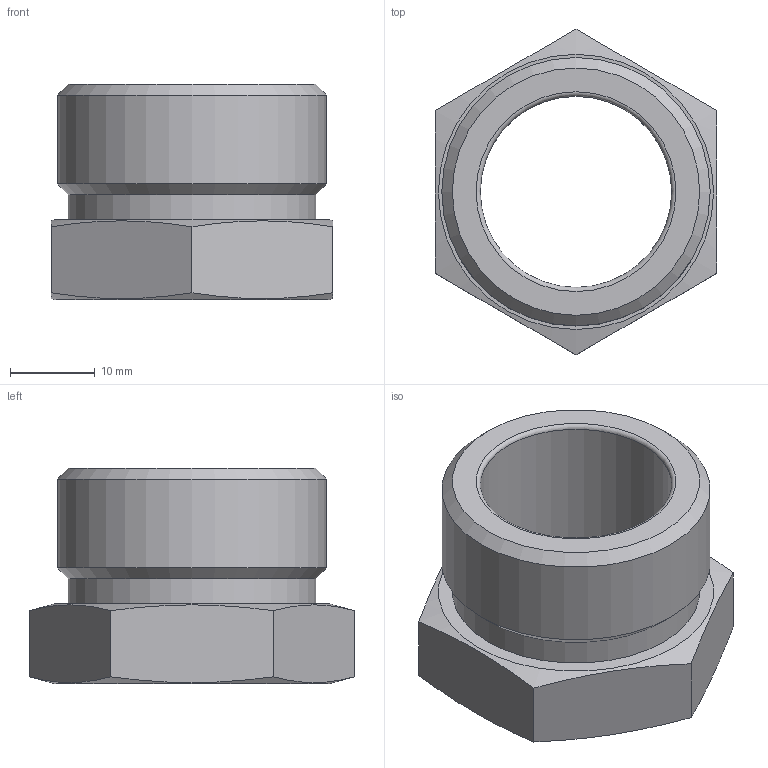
import cadquery as cq
import math

across_flats = 33.3
across_corners = across_flats / math.cos(math.radians(30))
head_height = 9.4
head_face_diameter = 32.5
head_chamfer_angle = 15.0

total_height = 25.4
shank_diameter = 31.7
neck_diameter = 29.2
neck_height = 3.0
shank_chamfer = (shank_diameter - neck_diameter) / 2

bore_diameter = 22.6
bore_mouth_fillet = 0.5


def make_head():
    """Hexagonal prism, corners along Y, bevelled conically at both ends."""
    prism = (
        cq.Workplane("XY")
        .polygon(6, across_corners)
        .extrude(head_height)
        .rotate((0, 0, 0), (0, 0, 1), 30)
    )
    face_radius = head_face_diameter / 2
    corner_radius = across_corners / 2
    bevel_drop = (corner_radius - face_radius) * math.tan(math.radians(head_chamfer_angle))
    bevel_envelope = (
        cq.Workplane("XZ")
        .moveTo(0, 0)
        .lineTo(face_radius, 0)
        .lineTo(corner_radius, bevel_drop)
        .lineTo(corner_radius, head_height - bevel_drop)
        .lineTo(face_radius, head_height)
        .lineTo(0, head_height)
        .close()
        .revolve(360, (0, 0, 0), (0, 1, 0))
    )
    return prism.intersect(bevel_envelope)


def make_shank():
    """Narrow neck on the head, then the full cylinder chamfered at both ends."""
    neck_top = head_height + neck_height
    neck = (
        cq.Workplane("XY")
        .workplane(offset=head_height)
        .circle(neck_diameter / 2)
        .extrude(neck_height)
    )
    cylinder = (
        cq.Workplane("XY")
        .workplane(offset=neck_top)
        .circle(shank_diameter / 2)
        .extrude(total_height - neck_top)
        .edges("%CIRCLE")
        .chamfer(shank_chamfer)
    )
    return neck.union(cylinder)


def cut_bore(body):
    """Bore the body along its axis and round the upper rim of the bore."""
    bored = body.cut(cq.Workplane("XY").circle(bore_diameter / 2).extrude(total_height))
    upper_rim = bored.faces(">Z").edges(cq.selectors.RadiusNthSelector(0))
    return upper_rim.fillet(bore_mouth_fillet)


result = cut_bore(make_head().union(make_shank()))